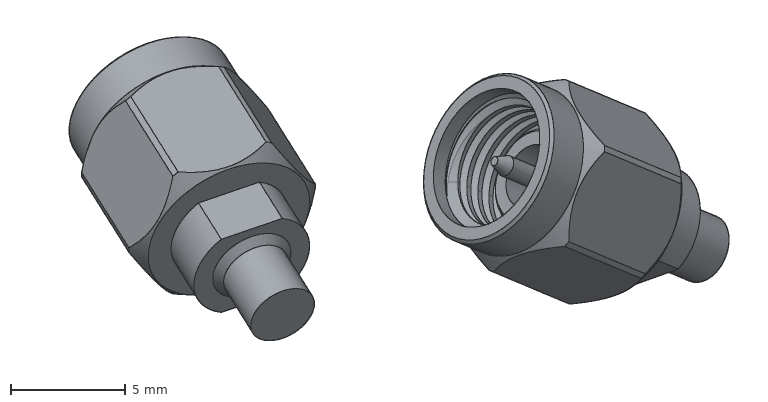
import cadquery as cq
import math


total_length = 13.97
sleeve_end = 2.03
hex_end = 8.38
body_end = 10.75
neck_end = 11.13

sleeve_radius = 3.9
sleeve_chamfer = 0.14
hex_across_flats = 7.93
hex_corner_radius = 4.5
hex_bevel_length = 0.71
body_radius = 2.8
body_across_flats = 4.75
neck_radius = 1.89
barrel_radius = 1.54

thread_major_radius = 3.15
thread_minor_radius = 2.78
thread_pitch = 0.71
thread_half_angle = 30.0
thread_root_width = 0.03
counterbore_radius = 3.17
counterbore_depth = 0.75
thread_start = -0.1
thread_turns = 6
groove_overlap = 0.05
socket_depth = 4.47

boss_face = 2.82
boss_radius = 2.21
boss_chamfer = 0.13
boss_bore_radius = 1.45
pin_radius = 0.47
pin_tip = 0.5
pin_tip_radius = 0.21
pin_taper_length = 0.73
shoulder_radius = 0.59
shoulder_length = 0.28


def cylinder(radius, start, end):
    return cq.Workplane("YZ").workplane(offset=start).circle(radius).extrude(end - start)


def revolve_about_axis(points):
    """Revolve a closed (x, radius) outline about the X axis."""
    return cq.Workplane("XY").polyline(points).close().revolve(360, (0, 0, 0), (1, 0, 0))


def hexagonal_nut():
    """Hexagon with flats at top and bottom, bevelled by a cone at each end."""
    length = hex_end - sleeve_end
    hexagon = (
        cq.Workplane("YZ")
        .workplane(offset=sleeve_end)
        .polygon(6, hex_across_flats / math.cos(math.radians(30)))
        .extrude(length)
    )
    envelope = revolve_about_axis([
        (sleeve_end, 0),
        (sleeve_end, sleeve_radius),
        (sleeve_end + hex_bevel_length, hex_corner_radius),
        (hex_end - hex_bevel_length, hex_corner_radius),
        (hex_end, sleeve_radius),
        (hex_end, 0),
    ])
    return hexagon.intersect(envelope)


def flatted_body():
    """Round body with a flat at top and bottom."""
    length = body_end - hex_end
    flats = cq.Workplane("XY").box(length, 2 * body_radius, body_across_flats)
    flats = flats.translate(((hex_end + body_end) / 2, 0, 0))
    return cylinder(body_radius, hex_end, body_end).intersect(flats)


def tail():
    """Conical neck leading to the plain cable barrel."""
    return revolve_about_axis([
        (body_end, 0),
        (body_end, neck_radius),
        (neck_end, barrel_radius),
        (total_length, barrel_radius),
        (total_length, 0),
    ])


def thread_groove():
    """Helical V groove cut outwards from the minor radius."""
    mouth_radius = thread_minor_radius - groove_overlap
    flank_width = (thread_major_radius - mouth_radius) * math.tan(math.radians(thread_half_angle))
    root = thread_root_width / 2
    mouth = root + flank_width
    helix = cq.Wire.makeHelix(thread_pitch, thread_turns * thread_pitch, thread_minor_radius)
    groove = (
        cq.Workplane("XZ")
        .polyline([
            (mouth_radius, -mouth),
            (thread_major_radius, -root),
            (thread_major_radius, root),
            (mouth_radius, mouth),
        ])
        .close()
        .sweep(cq.Workplane(helix), isFrenet=True)
    )
    groove = groove.rotate((0, 0, 0), (0, 1, 0), 90)
    return groove.translate((thread_start, 0, 0))


def socket_entry():
    """Smooth counterbore and the 45 degree lead-in down to the thread crests."""
    lead_in_end = counterbore_depth + counterbore_radius - thread_minor_radius
    return revolve_about_axis([
        (0, 0),
        (0, counterbore_radius),
        (counterbore_depth, counterbore_radius),
        (lead_in_end, thread_minor_radius),
        (lead_in_end, 0),
    ])


def contact_boss():
    """Chamfered ring standing on the socket floor."""
    ring = cylinder(boss_radius, boss_face, socket_depth).faces("<X").chamfer(boss_chamfer)
    return ring.cut(cylinder(boss_bore_radius, boss_face, socket_depth))


def contact_pin():
    """Tapered centre pin with a short shoulder at its root."""
    return revolve_about_axis([
        (pin_tip, 0),
        (pin_tip, pin_tip_radius),
        (pin_tip + pin_taper_length, pin_radius),
        (socket_depth - shoulder_length, pin_radius),
        (socket_depth - shoulder_length, shoulder_radius),
        (socket_depth, shoulder_radius),
        (socket_depth, 0),
    ])


sleeve = cylinder(sleeve_radius, 0, sleeve_end).faces("<X").chamfer(sleeve_chamfer)
shell = sleeve.union(hexagonal_nut()).union(flatted_body()).union(tail())
shell = shell.cut(cylinder(thread_minor_radius, 0, socket_depth))
shell = shell.cut(thread_groove())
shell = shell.cut(socket_entry())
result = shell.union(contact_boss()).union(contact_pin())